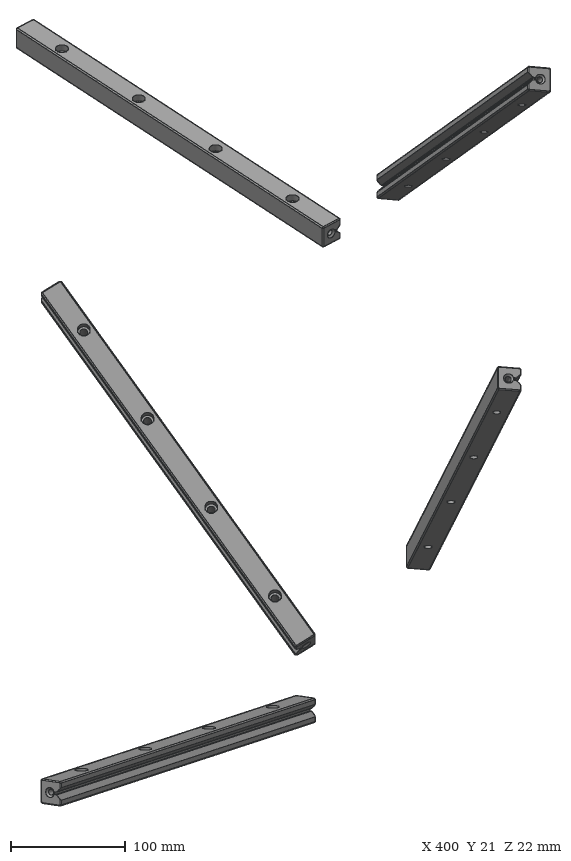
import cadquery as cq
import math

LENGTH = 400.0
WIDTH = 21.0
HEIGHT = 22.0
EDGE_BREAK = 1.0
END_CHAMFER = 1.0

GROOVE_DEPTH = 5.5
RELIEF_WIDTH = 2.5
RELIEF_DEPTH = 6.0

HOLE_COUNT = 4
HOLE_PITCH = LENGTH / HOLE_COUNT
HOLE_Y = -1.0
HOLE_DIAMETER = 7.0
COUNTERBORE_DIAMETER = 11.0
COUNTERBORE_DEPTH = 6.5

END_HOLE_DIAMETER = 5.0
END_HOLE_Y = -1.0
END_HOLE_DEPTH = 16.0
COUNTERSINK_DIAMETER = 9.0
DRILL_POINT_ANGLE = 118


def make_body():
    body = cq.Workplane("XY").box(LENGTH, WIDTH, HEIGHT)
    body = body.edges("|X").chamfer(EDGE_BREAK)
    return body.faces("<X or >X").chamfer(END_CHAMFER)


def make_groove():
    face_y = WIDTH / 2
    section = cq.Workplane("YZ", origin=(-LENGTH / 2, 0, 0))
    vee = (
        section.moveTo(face_y, GROOVE_DEPTH)
        .lineTo(face_y - GROOVE_DEPTH, 0)
        .lineTo(face_y, -GROOVE_DEPTH)
        .close()
        .extrude(LENGTH)
    )
    relief = (
        section.center(face_y - RELIEF_DEPTH / 2, 0)
        .rect(RELIEF_DEPTH, RELIEF_WIDTH)
        .extrude(LENGTH)
    )
    return vee.union(relief)


def drill_mounting_holes(body):
    return (
        body.faces(">Z")
        .workplane(origin=(0, HOLE_Y, 0))
        .rarray(HOLE_PITCH, 4, HOLE_COUNT, 1)
        .cboreHole(HOLE_DIAMETER, COUNTERBORE_DIAMETER, COUNTERBORE_DEPTH)
    )


def make_end_hole():
    """Countersunk hole with a drill-point bottom, entering the -X end."""
    bore_radius = END_HOLE_DIAMETER / 2
    mouth_radius = COUNTERSINK_DIAMETER / 2
    countersink_depth = mouth_radius - bore_radius
    point_depth = bore_radius / math.tan(math.radians(DRILL_POINT_ANGLE / 2))
    return (
        cq.Workplane("XY", origin=(-LENGTH / 2, END_HOLE_Y, 0))
        .lineTo(0, mouth_radius)
        .lineTo(countersink_depth, bore_radius)
        .lineTo(END_HOLE_DEPTH, bore_radius)
        .lineTo(END_HOLE_DEPTH + point_depth, 0)
        .close()
        .revolve(360, (0, 0, 0), (1, 0, 0))
    )


rail = make_body().cut(make_groove())
rail = drill_mounting_holes(rail)
end_hole = make_end_hole()
result = rail.cut(end_hole).cut(end_hole.mirror("YZ"))